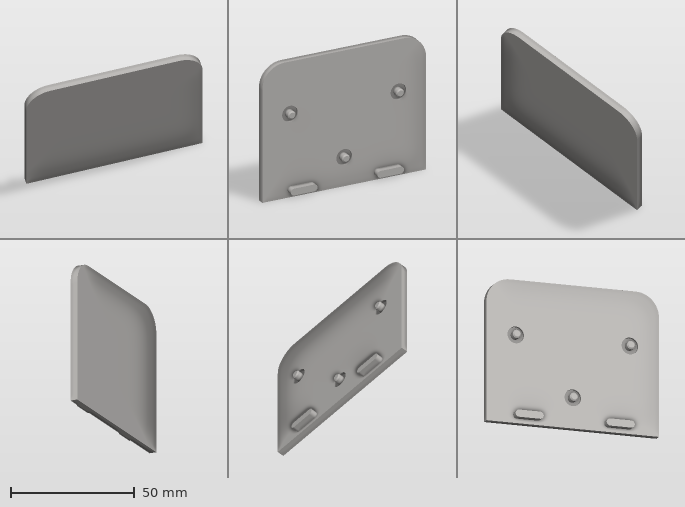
import cadquery as cq

plate_thickness = 3.0
plate_width = 74.0
plate_height = 60.0
corner_radius = 10.0

peg_diameter = 3.55
peg_protrusion = 2.1
peg_chamfer = 0.5
recess_diameter = 7.0
recess_depth = 1.0
upper_peg_offset = 24.5
upper_peg_height = 36.9
lower_peg_height = 12.9
peg_positions = [
    (-upper_peg_offset, upper_peg_height),
    (upper_peg_offset, upper_peg_height),
    (0, lower_peg_height),
]

tab_length = 12.05
tab_width = 3.0
tab_protrusion = 2.95
tab_offset = 19.5
tab_height = 3.4
tab_positions = [(-tab_offset, tab_height), (tab_offset, tab_height)]


def sketch_plane(x):
    """Plane normal to X, with local coordinates (Y, Z)."""
    return cq.Workplane("YZ", origin=(x, 0, 0))


def make_plate():
    return (
        sketch_plane(0)
        .rect(plate_width, plate_height)
        .extrude(plate_thickness)
        .edges("|X and >Z")
        .fillet(corner_radius)
        .translate((0, 0, plate_height / 2))
    )


def make_recesses():
    return sketch_plane(0).pushPoints(peg_positions).circle(recess_diameter / 2).extrude(recess_depth)


def make_pegs():
    """Pegs rising from the recess floors, chamfered at their free ends."""
    return (
        sketch_plane(-peg_protrusion)
        .pushPoints(peg_positions)
        .circle(peg_diameter / 2)
        .extrude(peg_protrusion + recess_depth)
        .faces("<X")
        .chamfer(peg_chamfer)
    )


def make_tabs():
    return (
        sketch_plane(-tab_protrusion)
        .pushPoints(tab_positions)
        .slot2D(tab_length, tab_width)
        .extrude(tab_protrusion)
    )


result = make_plate().cut(make_recesses()).union(make_pegs()).union(make_tabs())